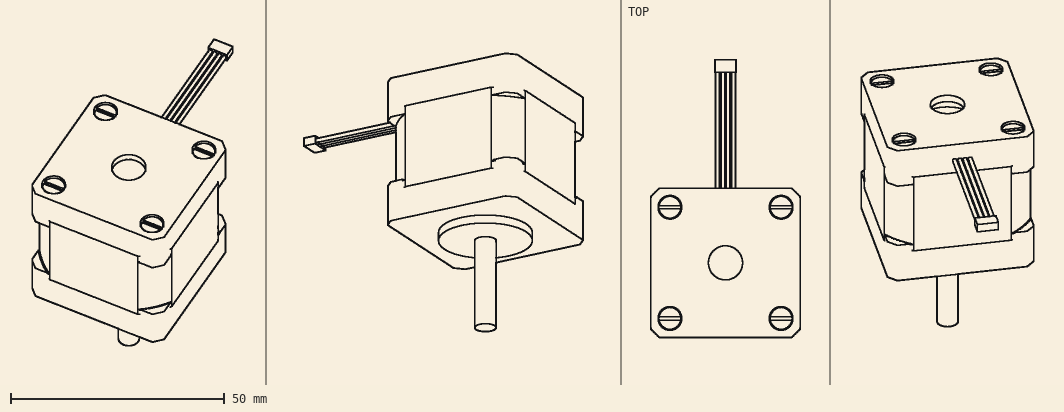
import cadquery as cq


motor_width = 35.0
motor_height = 36.0
cap_height = 9.8
cap_corner_chamfer = 2.0
cap_corner_radius = 0.6

stator_diameter = 42.0
stator_insertion = 2.0
stator_bottom = cap_height - stator_insertion
stator_top = motor_height - stator_bottom

relief_diameter = 42.65
relief_depth = 0.25

boss_diameter = 22.0
boss_height = 2.0
shaft_diameter = 5.0
shaft_length = 22.0
rotor_diameter = 15.0
rear_hole_diameter = 8.0
rear_lip_thickness = 1.75
rotor_depth_below_rear_face = 5.45
rotor_top = motor_height - rotor_depth_below_rear_face

screw_spacing = 26.0
screw_recess_diameter = 5.5
screw_recess_depth = 2.65
screw_head_diameter = 5.15
screw_head_height = 2.15
screw_slot_width = 0.8
screw_slot_depth = 0.65

overall_length = 65.0
cable_end_y = overall_length - motor_width / 2
cable_depth_below_rear_face = 4.4
cable_z = motor_height - cable_depth_below_rear_face
wire_count = 4
wire_diameter = 1.0
wire_pitch = 1.25
connector_width = 5.0
connector_length = 3.0
connector_height = 2.0


def cylinder(diameter, bottom, top):
    """Upright cylinder on the motor axis."""
    return cq.Workplane("XY").workplane(offset=bottom).circle(diameter / 2).extrude(top - bottom)


def square_bar(bottom, top):
    """Square block with the full motor width."""
    return cq.Workplane("XY").workplane(offset=bottom).rect(motor_width, motor_width).extrude(top - bottom)


def stator_envelope():
    """Outer shape of the stator, also the pocket it needs in the caps."""
    return square_bar(stator_bottom, stator_top).intersect(
        cylinder(stator_diameter, stator_bottom, stator_top)
    )


def cap_blank(bottom):
    """Solid end cap with chamfered corners, their edges slightly rounded."""
    chamfered = square_bar(bottom, bottom + cap_height).edges("|Z").chamfer(cap_corner_chamfer)
    return chamfered.edges("|Z").fillet(cap_corner_radius)


def make_front_cap():
    cap = cap_blank(0).union(cylinder(boss_diameter, -boss_height, 0))
    cap = cap.cut(stator_envelope())
    cap = cap.cut(cylinder(relief_diameter, cap_height - relief_depth, cap_height))
    return cap.cut(cylinder(shaft_diameter, -boss_height, stator_bottom))


def make_rear_cap():
    cap = cap_blank(motor_height - cap_height).cut(stator_envelope())
    cap = cap.cut(cylinder(rear_hole_diameter, stator_top, motor_height))
    cap = cap.cut(cylinder(rotor_diameter, stator_top, motor_height - rear_lip_thickness))
    recesses = (
        cq.Workplane("XY")
        .workplane(offset=motor_height - screw_recess_depth)
        .rect(screw_spacing, screw_spacing, forConstruction=True)
        .vertices()
        .circle(screw_recess_diameter / 2)
        .extrude(screw_recess_depth)
    )
    return cap.cut(recesses)


def make_stator():
    return stator_envelope().cut(cylinder(rotor_diameter, stator_bottom, stator_top))


def make_rotor():
    """Rotor drum and output shaft in one piece."""
    shaft = cylinder(shaft_diameter, -boss_height - shaft_length, stator_bottom)
    return shaft.union(cylinder(rotor_diameter, stator_bottom, rotor_top))


def make_screw(x, y):
    """Cylindrical screw head with a straight driver slot along X."""
    head_bottom = motor_height - screw_recess_depth
    head_top = head_bottom + screw_head_height
    slot = (
        cq.Workplane("XY")
        .workplane(offset=head_top - screw_slot_depth)
        .rect(screw_head_diameter, screw_slot_width)
        .extrude(screw_slot_depth)
    )
    return cylinder(screw_head_diameter, head_bottom, head_top).cut(slot).translate((x, y, 0))


def make_cable():
    """Connector block with its wires, which start at the back face of the rear cap."""
    cable = cq.Workplane("XY").box(connector_width, connector_length, connector_height)
    cable = cable.translate((0, cable_end_y - connector_length / 2, cable_z))
    wire_start_y = motor_width / 2
    wire_length = cable_end_y - connector_length - wire_start_y
    for index in range(wire_count):
        wire_x = (index - (wire_count - 1) / 2) * wire_pitch
        wire = (
            cq.Workplane("XZ", origin=(wire_x, wire_start_y, cable_z))
            .circle(wire_diameter / 2)
            .extrude(-wire_length)
        )
        cable = cable.union(wire)
    return cable


front_cap = make_front_cap()
rear_cap = make_rear_cap()
stator = make_stator()
rotor = make_rotor()
cable = make_cable()

screw_offset = screw_spacing / 2
screws = []
for x in (-screw_offset, screw_offset):
    for y in (-screw_offset, screw_offset):
        screws.append(make_screw(x, y).val())

result = cq.Compound.makeCompound(
    [front_cap.val(), rear_cap.val(), stator.val(), rotor.val(), *screws, cable.val()]
)